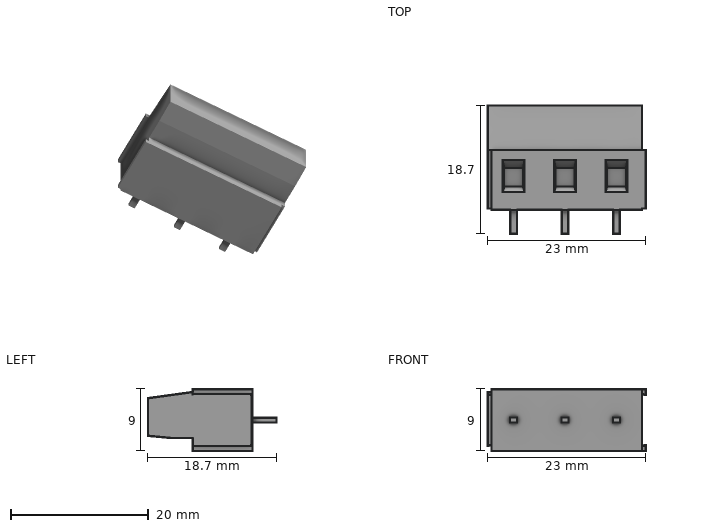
import cadquery as cq

total_length = 23.0
body_height = 9.0
body_depth = 8.75
top_z = body_height / 2

dovetail_depth = 0.55
dovetail_mouth = 7.22
dovetail_root = 7.55
dovetail_setback = 0.2
body_start = dovetail_depth
body_end = total_length - dovetail_depth

rear_depth = 6.49
rear_top_front = 4.1
rear_top_back = 3.2
rear_bottom_front = -2.62
rear_bottom_back = -2.3
rear_bottom_slope_depth = 3.35

pole_count = 3
pole_pitch = 7.48
first_pole_x = 3.77
pin_width = 1.0
pin_height = 0.74
pin_length = 3.47

opening_width = 3.22
opening_front = 2.6
opening_back = 7.3
opening_depth = 1.5
side_taper = 0.23
front_taper = 0.8
back_taper = 1.22

pole_positions = [first_pole_x + i * pole_pitch for i in range(pole_count)]


def block(x_start, x_end, y_start, y_end, height):
    """Box centred on Z = 0 between the given X and Y limits."""
    size_x = x_end - x_start
    size_y = y_end - y_start
    return cq.Workplane("XY").box(size_x, size_y, height).translate(
        ((x_start + x_end) / 2, (y_start + y_end) / 2, 0)
    )


def dovetail(outer_x, inner_x):
    """Prism along Y that narrows from its root width to its mouth width."""
    outline = [
        (outer_x, dovetail_root / 2),
        (inner_x, dovetail_mouth / 2),
        (inner_x, -dovetail_mouth / 2),
        (outer_x, -dovetail_root / 2),
    ]
    return (
        cq.Workplane("XZ", origin=(0, dovetail_setback, 0))
        .polyline(outline)
        .close()
        .extrude(dovetail_setback - body_depth)
    )


def rear_block():
    """Tapered block behind the body, flush with the tongue's outer face."""
    back_y = body_depth + rear_depth
    outline = [
        (body_depth, rear_bottom_front),
        (back_y - rear_bottom_slope_depth, rear_bottom_front),
        (back_y, rear_bottom_back),
        (back_y, rear_top_back),
        (body_depth, rear_top_front),
    ]
    return cq.Workplane("YZ").polyline(outline).close().extrude(body_end)


def rails():
    """Upper and lower rails that leave a dovetail groove between them."""
    full = block(body_end, total_length, dovetail_setback, body_depth, body_height)
    return full.cut(dovetail(body_end, total_length))


def pin(x):
    return block(x - pin_width / 2, x + pin_width / 2, -pin_length, 0, pin_height)


def opening(x):
    """Pocket whose four walls slope in towards a flat floor."""
    length = opening_back - opening_front
    floor_shift = (front_taper - back_taper) / 2
    return (
        cq.Workplane("XY", origin=(x, (opening_front + opening_back) / 2, top_z))
        .rect(opening_width, length)
        .workplane(offset=-opening_depth)
        .center(0, floor_shift)
        .rect(opening_width - 2 * side_taper, length - front_taper - back_taper)
        .loft(ruled=True)
    )


result = block(body_start, body_end, 0, body_depth, body_height)
result = result.union(dovetail(0, body_start)).union(rear_block()).union(rails())
for pole_x in pole_positions:
    result = result.union(pin(pole_x)).cut(opening(pole_x))